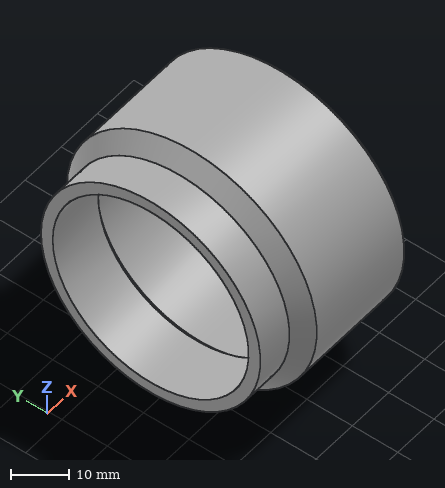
import cadquery as cq

total_length = 36.0
sleeve_diameter = 55.0
spigot_diameter = 48.3
bore_diameter = 43.1

spigot_length = 8.0
shoulder_length = (sleeve_diameter - spigot_diameter) / 2

socket_diameter = 44.85
socket_start = 12.6
socket_cone_length = (socket_diameter - bore_diameter) / 2

end_chamfer = 0.5


def make_body():
    """Stepped outer body, revolved about the X axis."""
    spigot_radius = spigot_diameter / 2
    sleeve_radius = sleeve_diameter / 2
    profile = (
        cq.Workplane("XY")
        .moveTo(0, 0)
        .lineTo(0, spigot_radius)
        .lineTo(spigot_length, spigot_radius)
        .lineTo(spigot_length + shoulder_length, sleeve_radius)
        .lineTo(total_length - end_chamfer, sleeve_radius)
        .lineTo(total_length, sleeve_radius - end_chamfer)
        .lineTo(total_length, 0)
        .close()
    )
    return profile.revolve(360, (0, 0, 0), (1, 0, 0))


def make_through_bore():
    """Cylinder on the X axis, running the full length of the part."""
    return cq.Workplane("YZ").circle(bore_diameter / 2).extrude(total_length)


def make_socket():
    """Cone and cylinder that open the bore from the socket start to the sleeve end."""
    bore_radius = bore_diameter / 2
    socket_radius = socket_diameter / 2
    profile = (
        cq.Workplane("XY")
        .moveTo(socket_start, 0)
        .lineTo(socket_start, bore_radius)
        .lineTo(socket_start + socket_cone_length, socket_radius)
        .lineTo(total_length, socket_radius)
        .lineTo(total_length, 0)
        .close()
    )
    return profile.revolve(360, (0, 0, 0), (1, 0, 0))


result = make_body().cut(make_through_bore()).cut(make_socket())